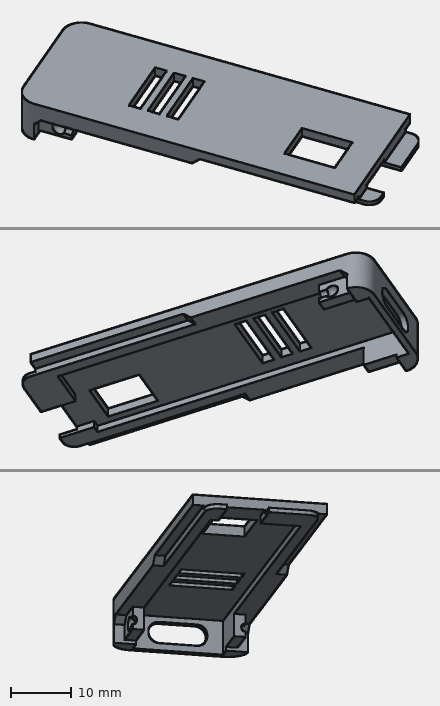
import cadquery as cq
import math

length = 64.95
width = 22.9
height = 7.7
plate_length = 61.8
corner_radius = 3.45

floor_depth = 1.8
edge_depth = 3.2
step_start = 32.3
rim_inset = 1.8
rim_thickness = 1.95
front_wall = 1.2
gusset = 1.3

tab_thickness = 0.8
tab_overlap = 3.25
tab_radius = 2.15
window_x = 46.8
window_length = 9.15
window_bottom = -6.35
window_top = 0.85
vent_x = 18.05
vent_width = 2.1
vent_length = 10.8
vent_pitch = 3.45
vent_count = 3
port_length = 10.05
port_height = 3.7
port_depth = 4.6
lug_end = 9.5
lug_depth = 7.1
dimple_x = 7.15
dimple_depth = 5.45
dimple_radius = 1.2
groove_radius = 0.7

half_width = width / 2
rim_half = half_width - rim_inset
inner_half = rim_half - rim_thickness


def box(x0, x1, y0, y1, top, bottom):
    """Box between X and Y limits and two depths below the top face."""
    return cq.Workplane("XY").box(x1 - x0, y1 - y0, bottom - top, centered=False).translate((x0, y0, -bottom))


def make_shell():
    """Plate with its front block, outer step and hollow underside."""
    ramp = edge_depth - floor_depth
    clearance = [
        (plate_length, -floor_depth),
        (step_start + ramp, -floor_depth),
        (step_start, -edge_depth),
        (corner_radius + gusset, -edge_depth),
        (corner_radius, -edge_depth - gusset),
        (corner_radius, -height),
        (plate_length, -height),
    ]
    body = box(0, plate_length, -half_width, half_width, 0, height)
    body = body.edges("|Z and <X").fillet(corner_radius)
    body = body.cut(cq.Workplane("XZ").polyline(clearance).close().extrude(width, both=True))
    body = body.union(box(corner_radius, plate_length, -rim_half, rim_half, floor_depth, edge_depth))
    return body.cut(box(front_wall, plate_length - tab_overlap, -inner_half, inner_half, floor_depth, height))


def make_tabs():
    """Rounded end tongue, split in two by a notch in line with the window."""
    tongue = box(plate_length - tab_overlap, length, -rim_half, rim_half, edge_depth - tab_thickness, edge_depth)
    return tongue.edges("|Z and >X").fillet(tab_radius)


def make_lug(side):
    """Latch lug below the rim, with a round dimple and a lead-in groove on its outer face."""
    outer = side * rim_half
    inner = side * inner_half
    lug = box(corner_radius, lug_end, min(outer, inner), max(outer, inner), floor_depth, lug_depth)
    center = (dimple_x, outer, -dimple_depth)
    neck_x = math.sqrt(dimple_radius**2 - groove_radius**2)
    groove_end = lug_end - dimple_x + groove_radius
    cutter = (
        cq.Workplane("XZ")
        .moveTo(-dimple_radius, 0)
        .threePointArc((0, dimple_radius), (neck_x, groove_radius))
        .lineTo(groove_end, groove_radius)
        .lineTo(groove_end, 0)
        .close()
        .revolve(360, (0, 0, 0), (1, 0, 0))
        .translate(center)
    )
    return lug.cut(cutter)


def cut_openings(body):
    """Cut the window with its end notch, the vents and the front port."""
    window_end = window_x + window_length
    body = body.cut(box(window_x, window_end, window_bottom, window_top, 0, height))
    body = body.cut(box(window_end, length, window_bottom, window_top, floor_depth, height))
    for i in range(vent_count):
        x = vent_x + i * vent_pitch
        body = body.cut(box(x, x + vent_width, -vent_length / 2, vent_length / 2, 0, height))
    port = cq.Workplane("YZ").center(0, -port_depth).slot2D(port_length, port_height).extrude(corner_radius)
    return body.cut(port)


cover = make_shell().union(make_tabs())
for side in (-1, 1):
    cover = cover.union(make_lug(side))
result = cut_openings(cover)